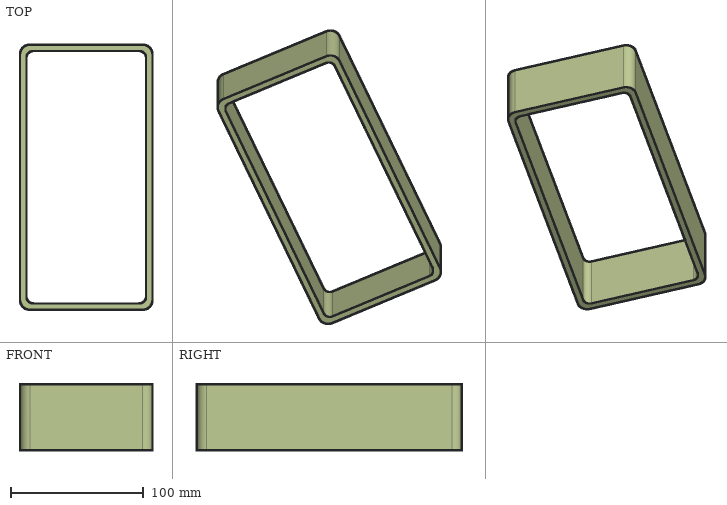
import cadquery as cq

width = 100.0
length = 200.0
height = 50.0
wall = 5.0
outer_corner_radius = 7.5
inner_corner_radius = 5.0


def rounded_block(size_x, size_y, corner_radius):
    """Block of the full height with its vertical edges rounded."""
    block = cq.Workplane("XY").rect(size_x, size_y).extrude(height)
    return block.edges("|Z").fillet(corner_radius)


outer_body = rounded_block(width, length, outer_corner_radius)
opening = rounded_block(width - 2 * wall, length - 2 * wall, inner_corner_radius)

result = outer_body.cut(opening)